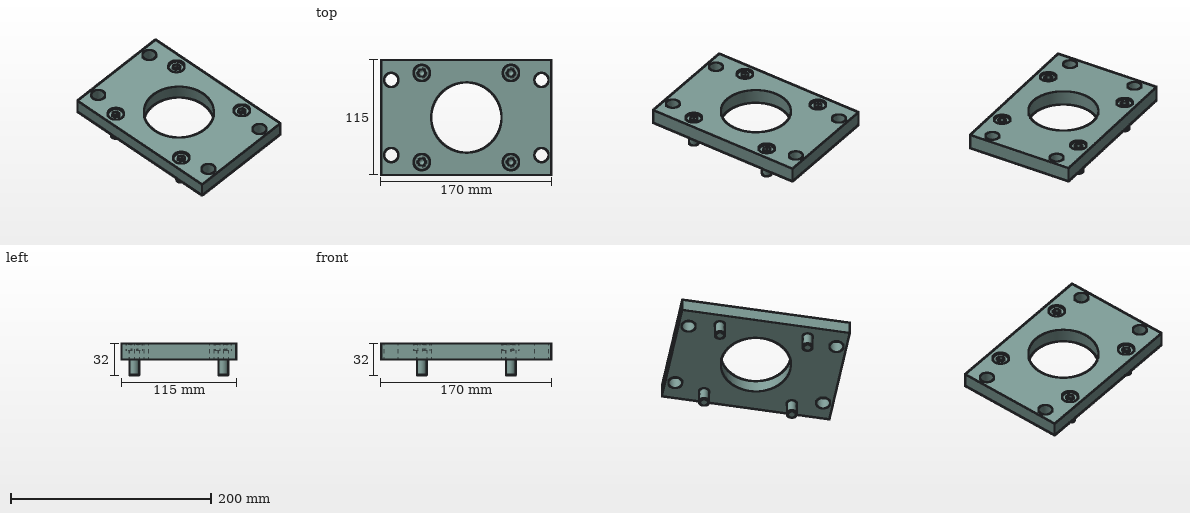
import cadquery as cq
import math

PLATE_LENGTH = 170.0
PLATE_WIDTH = 115.0
PLATE_THICKNESS = 16.0
BORE_DIAMETER = 70.0

MOUNT_HOLE_DIAMETER = 14.0
MOUNT_SPACING_X = 150.0
MOUNT_SPACING_Y = 75.0

SCREW_SPACING = 89.0
SHANK_DIAMETER = 10.0
SHANK_PROTRUSION = 16.0
TIP_CHAMFER = 0.9
HEAD_DIAMETER = 16.0
HEAD_HEIGHT = 6.0
HEAD_RECESS = 1.0
HEAD_EDGE = 1.0
SOCKET_ACROSS_FLATS = 7.0
SOCKET_DEPTH = 4.5
SOCKET_CONE_ANGLE = 120.0

CLEARANCE_DIAMETER = 10.5
COUNTERBORE_DIAMETER = 16.5
COUNTERBORE_DEPTH = HEAD_HEIGHT + HEAD_RECESS

SEAT_Z = PLATE_THICKNESS - COUNTERBORE_DEPTH
HEAD_TOP_Z = SEAT_Z + HEAD_HEIGHT
SHANK_LENGTH = SEAT_Z + SHANK_PROTRUSION


def make_plate():
    """Rectangular plate with a central bore, mounting holes and counterbored screw holes."""
    plate = cq.Workplane("XY").box(
        PLATE_LENGTH, PLATE_WIDTH, PLATE_THICKNESS, centered=(True, True, False)
    )
    plate = plate.faces(">Z").workplane().hole(BORE_DIAMETER)
    plate = (
        plate.faces(">Z").workplane()
        .rarray(MOUNT_SPACING_X, MOUNT_SPACING_Y, 2, 2)
        .hole(MOUNT_HOLE_DIAMETER)
    )
    return (
        plate.faces(">Z").workplane()
        .rarray(SCREW_SPACING, SCREW_SPACING, 2, 2)
        .cboreHole(CLEARANCE_DIAMETER, COUNTERBORE_DIAMETER, COUNTERBORE_DEPTH)
    )


def make_socket():
    """Hexagonal socket ending in a conical drill point, with corners along X."""
    across_corners = SOCKET_ACROSS_FLATS / math.cos(math.radians(30))
    floor_z = HEAD_TOP_Z - SOCKET_DEPTH
    cone_radius = across_corners / 2
    cone_depth = cone_radius / math.tan(math.radians(SOCKET_CONE_ANGLE / 2))
    prism = (
        cq.Workplane("XY").workplane(offset=floor_z - cone_depth)
        .polygon(6, across_corners)
        .extrude(SOCKET_DEPTH + cone_depth)
    )
    drill = (
        cq.Workplane("XZ")
        .moveTo(0, floor_z - cone_depth)
        .lineTo(cone_radius, floor_z)
        .lineTo(cone_radius, HEAD_TOP_Z)
        .lineTo(0, HEAD_TOP_Z)
        .close()
        .revolve(360, (0, 0, 0), (0, 1, 0))
    )
    return prism.intersect(drill)


def make_screw(x, y):
    """Socket screw with its head seated in the counterbore and its shank pointing down."""
    shank = (
        cq.Workplane("XY").workplane(offset=-SHANK_PROTRUSION)
        .circle(SHANK_DIAMETER / 2)
        .extrude(SHANK_LENGTH)
        .faces("<Z").chamfer(TIP_CHAMFER)
    )
    head = (
        cq.Workplane("XY").workplane(offset=SEAT_Z)
        .circle(HEAD_DIAMETER / 2)
        .extrude(HEAD_HEIGHT)
        .faces(">Z").edges().fillet(HEAD_EDGE)
    )
    return shank.union(head).cut(make_socket()).translate((x, y, 0))


plate = make_plate()

screws = []
for x_side in (-1, 1):
    for y_side in (-1, 1):
        screw = make_screw(x_side * SCREW_SPACING / 2, y_side * SCREW_SPACING / 2)
        screws.append(screw.val())

result = cq.Compound.makeCompound([plate.val(), *screws])